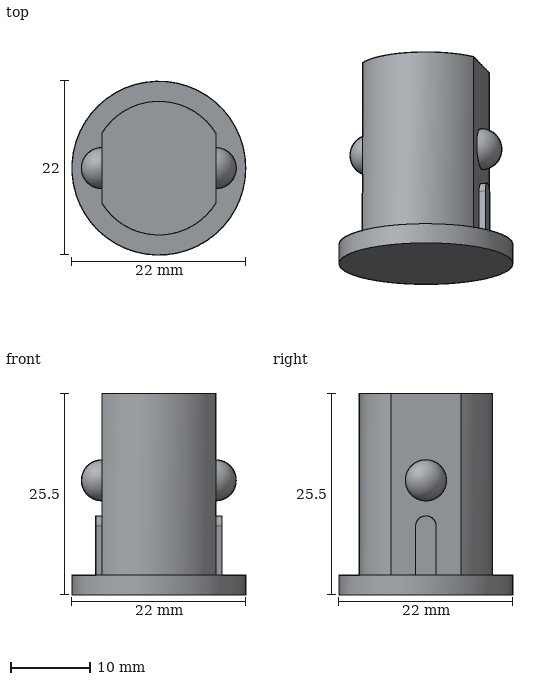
import cadquery as cq

flange_diameter = 22.0
flange_height = 2.5

total_height = 25.5
body_diameter = 16.9
width_across_flats = 14.4
flat_x = width_across_flats / 2

ball_diameter = 5.2
ball_centre_z = 14.5

rib_width = 2.6
rib_top_z = 10.0
width_across_ribs = 16.0


def make_flange():
    return cq.Workplane("XY").circle(flange_diameter / 2).extrude(flange_height)


def make_body():
    cylinder = cq.Workplane("XY").circle(body_diameter / 2).extrude(total_height)
    flats = cq.Workplane("XY").rect(width_across_flats, body_diameter).extrude(total_height)
    return cylinder.intersect(flats)


def make_ribs():
    """Both ribs as one bar running through the body along X."""
    half_width = rib_width / 2
    arc_start_z = rib_top_z - half_width
    return (
        cq.Workplane("YZ")
        .moveTo(-half_width, 0)
        .lineTo(half_width, 0)
        .lineTo(half_width, arc_start_z)
        .threePointArc((0, rib_top_z), (-half_width, arc_start_z))
        .close()
        .extrude(width_across_ribs / 2, both=True)
    )


def make_ball(x):
    return cq.Workplane("XY").sphere(ball_diameter / 2).translate((x, 0, ball_centre_z))


result = make_flange().union(make_body()).union(make_ribs())
for side in (-1, 1):
    result = result.union(make_ball(side * flat_x))